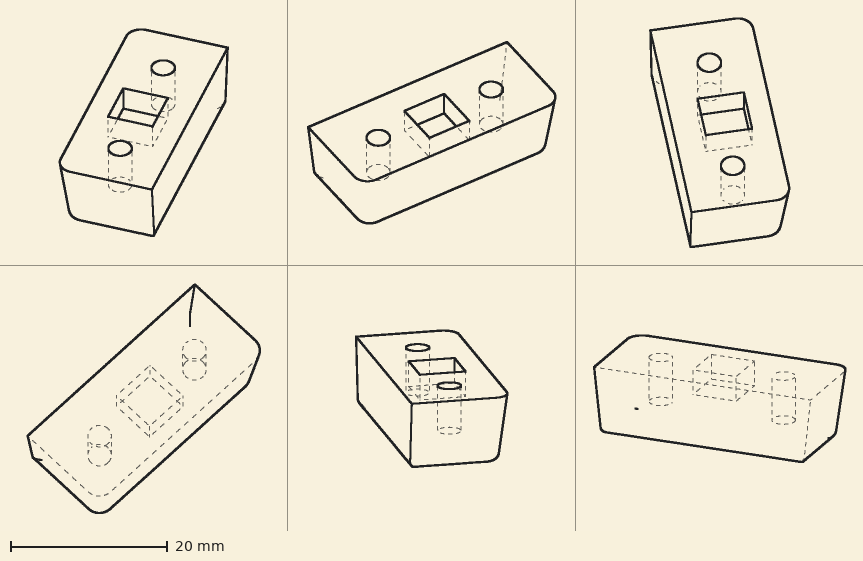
import cadquery as cq

length = 30.0
width = 13.0
height = 9.0
side_inset = 1.0
corner_radius = 2.0
bottom_fillet = 1.0

pocket_size = 6.0
pocket_depth = 3.35
hole_diameter = 3.0
hole_spacing = 17.0
hole_depth = 6.0
pocket_x = 6.0
hole_x = width / 2


def add_outline(plane, inset):
    """Draw a rectangle with two rounded corners on its low-x side."""
    half_length = length / 2 - inset
    arc_start = half_length - corner_radius
    arc_end_x = inset + corner_radius
    arc_offset = corner_radius * (1 - 0.5 ** 0.5)
    return (
        plane.moveTo(width, -half_length)
        .lineTo(width, half_length)
        .lineTo(arc_end_x, half_length)
        .threePointArc((inset + arc_offset, half_length - arc_offset), (inset, arc_start))
        .lineTo(inset, -arc_start)
        .threePointArc((inset + arc_offset, arc_offset - half_length), (arc_end_x, -half_length))
        .close()
    )


def make_body():
    """Loft the drafted block and round the whole bottom edge."""
    bottom = add_outline(cq.Workplane("XY").workplane(offset=-height), side_inset)
    outlines = add_outline(bottom.workplane(offset=height), 0)
    return outlines.loft(ruled=True, combine=True).faces("<Z").edges().fillet(bottom_fillet)


pocket = (
    cq.Workplane("XY").center(pocket_x, 0)
    .rect(pocket_size, pocket_size).extrude(-pocket_depth)
)
holes = (
    cq.Workplane("XY").center(hole_x, 0)
    .pushPoints([(0, -hole_spacing / 2), (0, hole_spacing / 2)])
    .circle(hole_diameter / 2).extrude(-hole_depth)
)

result = make_body().cut(pocket).cut(holes)